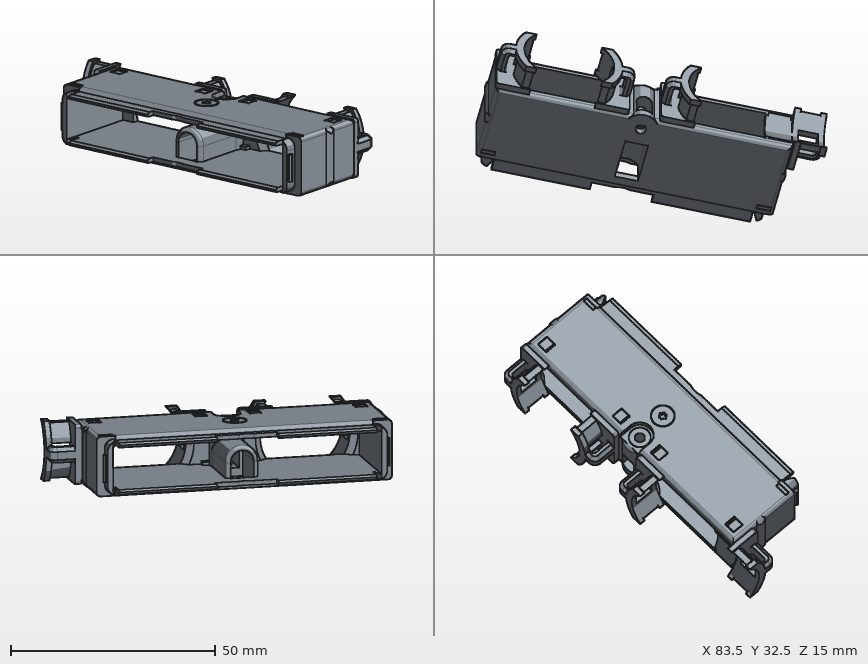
import cadquery as cq


half_width = 37.4
half_height = 7.51
depth = 20.45
edge_radius = 1.05
cavity_half_width = 34.0
cavity_half_height = 5.35
rear_wall = 1.6

lip_reach = 24.55
lip_half_width = 32.6
lip_thickness = 1.1
lip_nose_radius = 0.6
lip_bevel_length = 1.05
lip_bevel_drop = 0.4
relief_half_width = 7.8
relief_front = 22.2
relief_bump_half_width = 1.9
relief_bump_height = 0.3

tongue_outer = 35.4
tongue_thickness = 1.4
tongue_half_height = 6.75
tongue_corner_radius = 2.3
tongue_front = 23.5
tongue_taper = 1.0
ridge_height = 0.85
ridge_half_length = 3.45
ridge_start = 21.9
ridge_end = 23.2

step_outer = 36.45
step_inner = 33.0
step_rear = 18.4
step_front = 19.4
step_depth = 0.2

bead_y = -9.26
bead_width = 2.8
bead_rise = 0.5
bead_half_height = 7.45
bead_end_radius = 0.8
bead_edge_radius = 1.5

cradle_length = 8.0
cradle_plate = 1.5
cradle_width = 8.55
cradle_radius = 10.3
cradle_sag = 3.1
flange_thickness = 1.45
flange_band = 2.1
web_band = 1.4
web_half_height = 6.95
web_window_half_height = 2.2
bar_thickness = 1.9
bar_half_height = 1.95
bar_chamfer = 0.95
bar_corner_radius = 1.9
bar_inner_radius = 0.6
plate_corner_radius = 0.7
inner_cradle_x = 12.5
outer_cradle_x = 29.0
side_cradle_y = 2.0
side_cradle_gap = 0.2

opening_left = -30.7
opening_flare = 1.6
tab_inner = -31.3
tab_outer = -37.0
tab_thickness = 0.5

post_y = -3.45
post_radius = 4.3
post_rim_radius = 0.7
notch_half_width = 3.4
notch_depth = 1.4
screw_hole_radius = 1.25
head_radius = 2.95
counterbore_radius = 2.7
counterbore_depth = 0.2
tunnel_half_width = 2.0
tunnel_axis_z = -1.4
porch_half_width = 4.1
porch_inner_half_width = 2.9
porch_front = -18.4
porch_nose_radius = 1.0
ledge_outer = 6.0
ledge_depth = 1.6
ledge_height = 0.8

flush_screw_y = -11.1
groove_width = 0.12
groove_depth = 0.15
recess_radius = 0.75
recess_lobe_radius = 0.3
recess_lobes = 6
recess_depth = 1.0
latch_xs = (6.85, 33.75)
latch_y = -3.6
latch_size = 3.0
latch_depth = 0.3
latch_gap = 0.5
latch_gap_depth = 0.6


def block(x0, x1, y0, y1, z0, z1):
    """Box between two opposite corners."""
    size = (x1 - x0, y1 - y0, z1 - z0)
    return cq.Workplane("XY").box(*size, centered=False).translate((x0, y0, z0))


def rod(radius, x, z, y0, y1):
    """Cylinder along Y between y0 and y1."""
    return cq.Workplane("XZ").center(x, z).circle(radius).extrude(y0 - y1).translate((0, y0, 0))


def both_sides(shape):
    """The shape and its mirror image across the YZ plane."""
    return shape.union(shape.mirror("YZ"))


def lid_edge_waste(y_edge, inward, half_length):
    """Waste outside the rounded upper lid edge at y_edge; inward is the sign of Y into the body."""
    y_axis = y_edge + inward * edge_radius
    z_axis = half_height - edge_radius
    y_low, y_high = sorted((y_edge, y_axis))
    corner = block(-half_length, half_length, y_low, y_high, z_axis, half_height)
    core = (
        cq.Workplane("YZ", origin=(-half_length, y_axis, z_axis))
        .circle(edge_radius)
        .extrude(2 * half_length)
    )
    return corner.cut(core)


def make_housing():
    """Sleeve open at the front; only the upper lid front is rounded, between the square end frames."""
    body = block(-half_width, half_width, -depth, 0, -half_height, half_height)
    body = body.edges("|Y").fillet(edge_radius)
    rear_waste = lid_edge_waste(0, -1, half_width)
    body = body.cut(rear_waste).cut(rear_waste.mirror("XY"))
    body = body.cut(lid_edge_waste(-depth, 1, lip_half_width))
    return body.cut(
        block(
            -cavity_half_width, cavity_half_width, -depth, -rear_wall,
            -cavity_half_height, cavity_half_height,
        )
    )


def make_lip():
    """Upper lip: a thin shelf with a bevelled top, a rounded lower edge and a relieved centre."""
    top = cavity_half_height + lip_thickness
    lip = block(-lip_half_width, lip_half_width, -lip_reach, -depth + edge_radius, cavity_half_height, top)
    lip = lip.edges("|X and <Y and <Z").fillet(lip_nose_radius)
    lip = lip.cut(
        cq.Workplane("YZ")
        .moveTo(-lip_reach, top)
        .lineTo(-lip_reach + lip_bevel_length, top)
        .lineTo(-lip_reach, top - lip_bevel_drop)
        .close()
        .extrude(lip_half_width, both=True)
    )
    relief = (
        cq.Workplane("XY")
        .moveTo(-relief_half_width, -lip_reach)
        .lineTo(-relief_half_width, -relief_front)
        .lineTo(-relief_bump_half_width, -relief_front)
        .threePointArc((0, -relief_front + relief_bump_height), (relief_bump_half_width, -relief_front))
        .lineTo(relief_half_width, -relief_front)
        .lineTo(relief_half_width, -lip_reach)
        .close()
        .extrude(half_height)
    )
    return lip.cut(relief)


def make_tongue():
    """Right side tongue: a rounded channel with a tapered tip and a latch ridge."""
    inner = tongue_outer - tongue_thickness
    root = -depth + edge_radius
    outer_block = block(
        step_inner, tongue_outer, -tongue_front, root, -tongue_half_height, tongue_half_height
    )
    outer_block = outer_block.edges("|Y and >X").fillet(tongue_corner_radius)
    hollow = block(
        step_inner, inner, -tongue_front, root, -cavity_half_height, cavity_half_height
    )
    taper = (
        cq.Workplane("XY")
        .moveTo(step_inner, -depth - tongue_taper)
        .lineTo(inner, -tongue_front)
        .lineTo(step_inner, -tongue_front)
        .close()
        .extrude(half_height, both=True)
    )
    tongue = outer_block.cut(hollow).cut(taper)
    ridge = block(
        inner + tongue_thickness / 2, tongue_outer + ridge_height,
        -ridge_end, -ridge_start, -ridge_half_length, ridge_half_length,
    )
    return tongue.union(ridge.edges("|Z and >X").chamfer(ridge_height / 2))


def make_bead():
    """Right side bead: a shallow upright half-round with rounded ends."""
    half = bead_width / 2
    bead = (
        cq.Workplane("XY")
        .moveTo(half_width - edge_radius, bead_y - half)
        .lineTo(half_width, bead_y - half)
        .threePointArc((half_width + bead_rise, bead_y), (half_width, bead_y + half))
        .lineTo(half_width - edge_radius, bead_y + half)
        .close()
        .extrude(bead_half_height, both=True)
    )
    envelope = block(
        0, half_width + bead_rise, bead_y - half, bead_y + half, -bead_half_height, bead_half_height
    )
    return (
        bead.intersect(envelope.edges("|X").fillet(bead_end_radius))
        .intersect(envelope.edges("|Y and >X").fillet(bead_edge_radius))
    )


def make_cradle():
    """Connector standing along +Y: the cradle opens toward -X and its bar lies on the +X side."""
    axis_x = cradle_sag - cradle_radius
    flange_y = cradle_length - flange_thickness
    full = block(0, cradle_width, 0, cradle_length, -half_height, half_height)

    plate = block(0, cradle_width, 0, cradle_plate, -half_height, half_height)
    plate = plate.edges("|Y and >X").fillet(plate_corner_radius)
    flange = rod(cradle_radius + flange_band, axis_x, 0, flange_y, cradle_length).intersect(full)
    web_space = block(0, cradle_width, 0, cradle_length, -web_half_height, web_half_height)
    web = rod(cradle_radius + web_band, axis_x, 0, 0, cradle_length).intersect(web_space)

    bar = block(cradle_sag, cradle_width, 0, cradle_length, -bar_half_height, bar_half_height)
    bar = bar.edges("|Z and >X and >Y").fillet(bar_corner_radius)
    bar = bar.faces(">X").edges(">Z or <Z").chamfer(bar_chamfer)
    gap = block(
        0, cradle_width - bar_thickness, cradle_plate, flange_y,
        -web_window_half_height, web_window_half_height,
    )
    gap = gap.edges("|Z and >X").fillet(bar_inner_radius)
    bore = rod(cradle_radius, axis_x, 0, 0, cradle_length)
    return plate.union(flange).union(web).union(bar).cut(gap).cut(bore)


def flared_bore(axis_x):
    """Bore along Y through the rear wall, widening toward the cavity."""
    return (
        cq.Workplane("XY")
        .polyline([
            (0, 0),
            (cradle_radius, 0),
            (cradle_radius + opening_flare, -rear_wall),
            (0, -rear_wall),
        ])
        .close()
        .revolve(360, (0, 0, 0), (0, 1, 0))
        .translate((axis_x, 0, 0))
    )


def make_openings():
    """Two windows in the rear wall; each end beside a cradle follows that cradle's bore."""
    offset = cradle_radius - cradle_sag
    inner_axis = inner_cradle_x + offset
    outer_axis = outer_cradle_x - offset

    def window(x0, x1):
        return block(x0, x1, -rear_wall, 0, -cavity_half_height, cavity_half_height)

    left = flared_bore(-inner_axis).intersect(window(-inner_axis, 0))
    left = left.union(window(opening_left, -inner_axis))
    right = flared_bore(inner_axis).intersect(window(0, outer_axis))
    right = right.union(flared_bore(outer_axis).intersect(window(outer_axis, cavity_half_width)))
    return left.union(right)


def make_post():
    """Round post between the lids with small ledges beside it."""
    top = half_height - notch_depth
    post = cq.Workplane("XY").center(0, post_y).circle(post_radius).extrude(top + half_height)
    post = post.edges(">Z").fillet(post_rim_radius).translate((0, 0, -half_height))
    for z in (cavity_half_height - ledge_height, -cavity_half_height):
        ledge = block(0, ledge_outer, -rear_wall - ledge_depth, -rear_wall, z, z + ledge_height)
        post = post.union(both_sides(ledge))
    return post


def arch(half_span, y0, y1, base_z=-cavity_half_height):
    """Round-topped prism along Y, standing at base_z (the lower lid's inner face by default)."""
    return (
        cq.Workplane("XZ", origin=(0, y0, 0))
        .moveTo(-half_span, base_z)
        .lineTo(-half_span, tunnel_axis_z)
        .threePointArc((0, tunnel_axis_z + half_span), (half_span, tunnel_axis_z))
        .lineTo(half_span, base_z)
        .close()
        .extrude(y0 - y1)
    )


def make_porch():
    """Arched hood reaching forward from the post, with a rounded front rim."""
    hood = arch(porch_half_width, porch_front, post_y)
    return hood.faces("<Y").edges("%CIRCLE or |Z").fillet(porch_nose_radius)


def cut_post(body):
    """Lid notch, counterbored screw hole, and the stepped passage through hood and post."""
    floor = half_height - notch_depth
    notch = block(-notch_half_width, notch_half_width, post_y, post_radius, floor, half_height)
    notch = notch.union(
        cq.Workplane("XY", origin=(0, post_y, floor)).circle(notch_half_width).extrude(notch_depth)
    )
    hole = (
        cq.Workplane("XY", origin=(0, post_y, -half_height))
        .circle(screw_hole_radius)
        .extrude(2 * half_height)
    )
    counterbore = (
        cq.Workplane("XY", origin=(0, post_y, floor))
        .circle(counterbore_radius)
        .extrude(-counterbore_depth)
    )
    body = body.cut(notch).cut(hole).cut(counterbore)
    body = body.cut(arch(tunnel_half_width, porch_front, post_y + post_radius))
    return body.cut(arch(porch_inner_half_width, porch_front, post_y - post_radius, -half_height))


def cut_lid_marks(body):
    """Flush screw head with its lobed recess, and the latch windows, all in the upper lid."""
    lid = cq.Workplane("XY", origin=(0, flush_screw_y, half_height))
    body = body.cut(lid.circle(head_radius).circle(head_radius - groove_width).extrude(-groove_depth))
    body = body.cut(lid.circle(recess_radius).extrude(-recess_depth))
    lobes = lid.polarArray(recess_radius, 0, 360, recess_lobes).circle(recess_lobe_radius)
    body = body.cut(lobes.extrude(-recess_depth))
    half = latch_size / 2
    for x in latch_xs:
        window = block(
            x - half, x + half, latch_y - half, latch_y + half, half_height - latch_depth, half_height
        )
        gap = block(
            x - half, x - half + latch_gap, latch_y - half, latch_y + half,
            half_height - latch_gap_depth, half_height,
        )
        body = body.cut(both_sides(window.union(gap)))
    return body


def cut_end_steps(body):
    """Shallow steps near the front corners of both lids."""
    for z in (half_height - step_depth, -half_height):
        step = block(step_inner, step_outer, -step_front, -step_rear, z, z + step_depth)
        body = body.cut(both_sides(step))
    return body


def add_side_cradle(body, mirrored):
    """Cradle on the left end, held off by a thin spacer; its bore runs on through the rear corner."""
    plate_front = side_cradle_y - cradle_width
    base_x = -half_width - side_cradle_gap
    side_cradle = mirrored.rotate((0, 0, 0), (0, 0, 1), 90).translate((base_x, side_cradle_y, 0))
    spacer = block(
        base_x, -half_width + edge_radius, plate_front, -edge_radius,
        -half_height + edge_radius, half_height - edge_radius,
    )
    bore_y = side_cradle_y - cradle_sag + cradle_radius
    bore = (
        cq.Workplane("YZ", origin=(base_x, bore_y, 0))
        .circle(cradle_radius)
        .extrude(opening_left - base_x)
    )
    return body.union(spacer).cut(bore).union(side_cradle)


def build():
    body = make_housing()
    lip = make_lip()
    body = body.union(lip).union(lip.translate((0, 0, -2 * cavity_half_height - lip_thickness)))
    body = body.union(both_sides(make_tongue())).union(both_sides(make_bead()))
    body = body.union(
        block(tab_outer, tab_inner, -rear_wall, tab_thickness, -cavity_half_height, cavity_half_height)
    )
    body = body.cut(make_openings()).union(make_post()).union(make_porch())
    body = cut_end_steps(cut_lid_marks(cut_post(body)))

    cradle = make_cradle()
    mirrored = cradle.mirror("YZ")
    body = body.union(cradle.translate((-inner_cradle_x, 0, 0)))
    body = body.union(cradle.translate((outer_cradle_x, 0, 0)))
    body = body.union(mirrored.translate((inner_cradle_x, 0, 0)))
    return add_side_cradle(body, mirrored)


result = build()